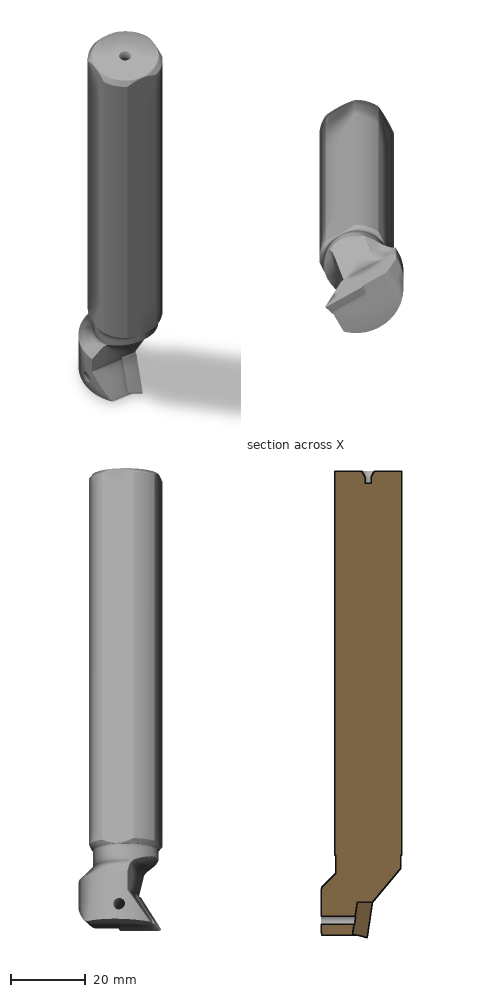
import cadquery as cq
import math


total_length = 125.0
shank_radius = 10.0
across_flats = 18.0
shank_bottom_z = 22.5
shank_chamfer_width = 1.1
shank_chamfer_height = 1.2
neck_radius = 8.8
neck_bottom_z = 17.8
head_radius = 12.5
head_top_z = neck_bottom_z - (head_radius - neck_radius)
clear = 3 * head_radius

centre_cone_angle = 60.0
centre_diameter = 1.5
centre_mouth_diameter = 3.2
centre_depth = 3.1
centre_cone_width = (centre_mouth_diameter - centre_diameter) / 2
centre_cone_depth = centre_cone_width / math.tan(math.radians(centre_cone_angle / 2))

insert_angle = 55.0
insert_circle = 9.5
insert_thickness = 4.0
insert_relief = 7.0
nose_radius = 0.4
tip_x = 9.8
tip_y = -0.2
end_clearance = 3.0
rake_tilt = 8.5
insert_side = insert_circle / math.sin(math.radians(insert_angle))
half_angle = math.radians(insert_angle / 2)
axis_angle = math.radians(180 - end_clearance) - half_angle
corner_reach = nose_radius / math.sin(half_angle)
corner_x = tip_x - nose_radius - corner_reach * math.cos(axis_angle)
corner_z = nose_radius - corner_reach * math.sin(axis_angle)
centre_reach = insert_circle / 2 / math.sin(half_angle)
insert_centre_x = corner_x + centre_reach * math.cos(axis_angle)
insert_centre_z = corner_z + centre_reach * math.sin(axis_angle)
screw_hole_diameter = 3.1

pocket_top_z = 10.0
pocket_floor_y = tip_y + pocket_top_z * math.tan(math.radians(rake_tilt))
runout_slope = 1.2
relief_dive = 59.0
relief_wall_slope = 0.6
relief_wall_offset = -0.9
relief_fillet = 5.5

notch_x = 3.4
notch_bottom_z = 9.1
notch_roof_z = 17.9
notch_roof_slope = 0.4
notch_fillet = 1.9
nose_end_x = 8.5
nose_end_z = 1.2

underside_z = 1.1
bevel_top_z = 6.6
bevel_angle = 57.0
bevel_fillet = 3.0


def revolved_blank(points):
    """Solid of revolution about Z from (radius, z) points."""
    return cq.Workplane("XZ").polyline(points).close().revolve(360, (0, 0, 0), (0, 1, 0))


def through_y(points):
    """Prism through the whole holder along Y from (x, z) points."""
    return cq.Workplane("XZ").polyline(points).close().extrude(clear, both=True)


def make_shank():
    end_radius = shank_radius - shank_chamfer_width
    shank = revolved_blank([
        (0, shank_bottom_z),
        (end_radius, shank_bottom_z),
        (shank_radius, shank_bottom_z + shank_chamfer_height),
        (shank_radius, total_length - shank_chamfer_height),
        (end_radius, total_length),
        (0, total_length),
    ])
    square = cq.Workplane("XY").rect(across_flats, across_flats).extrude(total_length)
    return shank.intersect(square)


def make_neck_and_head():
    return revolved_blank([
        (0, 0),
        (head_radius, 0),
        (head_radius, head_top_z),
        (neck_radius, neck_bottom_z),
        (neck_radius, shank_bottom_z),
        (0, shank_bottom_z),
    ])


def make_centre_drilling():
    mouth_radius = centre_mouth_diameter / 2
    drill_radius = centre_diameter / 2
    return revolved_blank([
        (0, total_length),
        (mouth_radius, total_length),
        (drill_radius, total_length - centre_cone_depth),
        (drill_radius, total_length - centre_depth),
        (0, total_length - centre_depth),
    ])


def make_underside_envelope():
    """Prism that bounds the head below: inclined underside, rounded into a steep bevel at -X."""
    underside_slope = math.tan(math.radians(end_clearance))
    bevel_slope = math.tan(math.radians(bevel_angle))
    bevel_axis_z = bevel_top_z - bevel_slope * head_radius
    meet_x = (bevel_axis_z - underside_z) / (bevel_slope - underside_slope)
    meet_z = underside_z - underside_slope * meet_x
    envelope = through_y([
        (meet_x, meet_z),
        (clear, underside_z - underside_slope * clear),
        (clear, 2 * total_length),
        (-clear, 2 * total_length),
        (-clear, bevel_top_z + bevel_slope * (clear - head_radius)),
    ])
    bevel_edge = cq.selectors.NearestToPointSelector((meet_x, 0, meet_z))
    return envelope.edges(bevel_edge).fillet(bevel_fillet)


def make_notch():
    """Space at +X between the neck and the slanted flank of the insert."""
    flank_slope = (notch_bottom_z - nose_end_z) / (nose_end_x - notch_x)
    notch = through_y([
        (notch_x, notch_bottom_z),
        (notch_x, notch_roof_z),
        (clear, notch_roof_z + notch_roof_slope * (clear - notch_x)),
        (clear, notch_bottom_z - flank_slope * (clear - notch_x)),
    ])
    inner_edge = cq.selectors.NearestToPointSelector((notch_x, 0, notch_roof_z))
    return notch.edges(inner_edge).fillet(notch_fillet)


def make_chip_pocket():
    """Space above the rake face, ending in an inclined run-out toward the neck."""
    lean = math.tan(math.radians(rake_tilt))
    profile = [
        (tip_y - clear * lean, -clear),
        (pocket_floor_y, pocket_top_z),
        (clear, pocket_top_z + runout_slope * (clear - pocket_floor_y)),
        (clear, -clear),
    ]
    return cq.Workplane("YZ").polyline(profile).close().extrude(clear, both=True)


def make_side_relief():
    """Relief at -X beside the run-out: a rounded trough that dives toward +X."""
    dive = math.radians(relief_dive)
    across = cq.Plane(
        origin=(0, 0, 0),
        xDir=(0, 1, 0),
        normal=(math.cos(dive), 0, -math.sin(dive)),
    )
    root = relief_wall_offset + relief_wall_slope * pocket_floor_y
    far_wall = relief_wall_offset + relief_wall_slope * clear
    profile = [
        (pocket_floor_y, root),
        (clear, far_wall),
        (clear, -clear),
        (pocket_floor_y, -clear),
    ]
    trough = cq.Workplane(across).polyline(profile).close().extrude(clear, both=True)
    root_edge = cq.selectors.NearestToPointSelector(across.toWorldCoords((pocket_floor_y, root, 0)))
    return trough.edges(root_edge).fillet(relief_fillet)


def make_screw_hole():
    hole = cq.Workplane("XZ").center(insert_centre_x, insert_centre_z)
    return hole.circle(screw_hole_diameter / 2).extrude(clear)


def make_insert():
    lower_edge = math.radians(180 - end_clearance)
    flank_edge = lower_edge - math.radians(insert_angle)
    lower_step = (insert_side * math.cos(lower_edge), insert_side * math.sin(lower_edge))
    flank_step = (insert_side * math.cos(flank_edge), insert_side * math.sin(flank_edge))
    rhombus = [
        (corner_x, corner_z),
        (corner_x + flank_step[0], corner_z + flank_step[1]),
        (corner_x + flank_step[0] + lower_step[0], corner_z + flank_step[1] + lower_step[1]),
        (corner_x + lower_step[0], corner_z + lower_step[1]),
    ]
    blank = cq.Workplane("XZ").polyline(rhombus).close().extrude(insert_thickness, taper=insert_relief)
    rounded = blank.edges("not #Y").fillet(nose_radius)
    tilted = rounded.rotate((0, 0, 0), (1, 0, 0), -rake_tilt)
    return tilted.translate((0, tip_y, 0))


def make_holder(seated_insert):
    head = make_neck_and_head().intersect(make_underside_envelope())
    head = head.cut(make_notch())
    head = head.cut(make_chip_pocket())
    head = head.cut(make_side_relief())
    head = head.cut(make_screw_hole())
    head = head.cut(seated_insert)
    return make_shank().cut(make_centre_drilling()).union(head)


insert = make_insert()
holder = make_holder(insert)

result = cq.Compound.makeCompound([holder.solids().val(), insert.solids().val()])